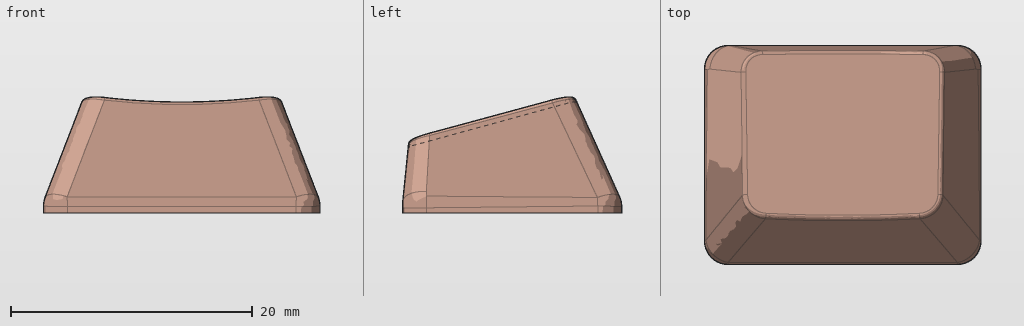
import cadquery as cq
import math

LENGTH = 22.92
WIDTH = 18.15

SKIRT_HEIGHT = 0.96
CORNER_RADIUS = 2.0

TOP_ANGLE = 15.3
TOP_LENGTH = 16.05
TOP_FRONT_Y = -4.84
TOP_BACK_Y = 8.5
TOP_CENTER_Z = 9.03

DISH_RADIUS = 50.42
DISH_BOTTOM_Z = 7.85
TOP_EDGE_RADIUS = 0.4


def top_corner(x, y):
    """Point on the sloping top plane."""
    return cq.Vector(x, y, TOP_CENTER_Z - y * math.tan(math.radians(TOP_ANGLE)))


def make_blank():
    """Rectangular skirt and leaning walls, rounded along every edge between their faces."""
    half_length = LENGTH / 2
    half_width = WIDTH / 2
    half_top = TOP_LENGTH / 2

    skirt = cq.Workplane("XY").box(LENGTH, WIDTH, SKIRT_HEIGHT, centered=(True, True, False))
    base_outline = cq.Wire.makePolygon(
        [
            cq.Vector(-half_length, -half_width, SKIRT_HEIGHT),
            cq.Vector(half_length, -half_width, SKIRT_HEIGHT),
            cq.Vector(half_length, half_width, SKIRT_HEIGHT),
            cq.Vector(-half_length, half_width, SKIRT_HEIGHT),
        ],
        close=True,
    )
    top_outline = cq.Wire.makePolygon(
        [
            top_corner(-half_top, TOP_FRONT_Y),
            top_corner(half_top, TOP_FRONT_Y),
            top_corner(half_top, TOP_BACK_Y),
            top_corner(-half_top, TOP_BACK_Y),
        ],
        close=True,
    )
    walls = cq.Solid.makeLoft([base_outline, top_outline], ruled=True)
    sharp_blank = skirt.union(cq.Workplane(walls))

    top_face = sharp_blank.faces(cq.selectors.NearestToPointSelector((0, 0, TOP_CENTER_Z)))
    unrounded = top_face.edges().vals() + sharp_blank.edges("<Z").vals()
    rounded = [
        edge for edge in sharp_blank.edges().vals()
        if not any(edge.isSame(other) for other in unrounded)
    ]
    return sharp_blank.newObject(rounded).fillet(CORNER_RADIUS)


def make_dish_cutter():
    """Long cylinder that hollows the sloping top."""
    cylinder = cq.Workplane("XZ").circle(DISH_RADIUS).extrude(LENGTH, both=True)
    return (
        cylinder.translate((0, 0, DISH_RADIUS))
        .rotate((0, 0, 0), (1, 0, 0), -TOP_ANGLE)
        .translate((0, 0, DISH_BOTTOM_Z))
    )


dished = make_blank().cut(make_dish_cutter())
dish_face = dished.faces(cq.selectors.NearestToPointSelector((0, 0, DISH_BOTTOM_Z)))
result = dish_face.edges().fillet(TOP_EDGE_RADIUS)